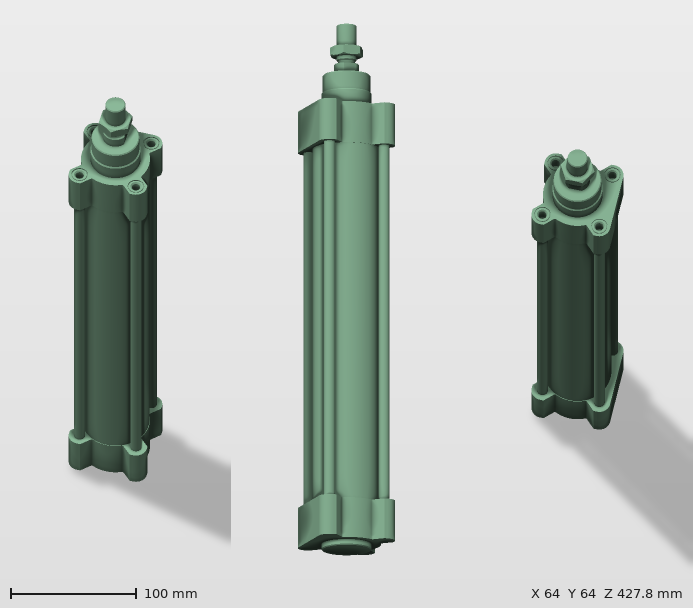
import cadquery as cq
import math


total_length = 427.8
spigot_length = 4.6
rear_cap_length = 32.5
tube_length = 289.6
front_cap_length = 33.5
collar_base_length = 12.6
collar_length = 27.0
thread_length = 32.0

cap_bottom = spigot_length
tube_bottom = cap_bottom + rear_cap_length
tube_top = tube_bottom + tube_length
front_cap_top = tube_top + front_cap_length
collar_top = front_cap_top + collar_length
shoulder_z = total_length - thread_length

cap_side = 64.0
half_side = cap_side / 2
cap_body_diameter = 55.0
tie_rod_offset = 23.25
boss_radius = half_side - tie_rod_offset
boss_flat_end = 20.4
notch_fillet = 1.5

tube_diameter = 54.2
tie_rod_diameter = 8.8
spigot_diameter = 40.0
spigot_chamfer = 0.8
collar_base_diameter = 40.0
collar_diameter = 38.0
collar_chamfer = 0.8

recess_diameter = 13.2
stud_diameter = 12.0
stud_top_diameter = 11.45
groove_depth = 1.0
stud_chamfer = (stud_diameter - stud_top_diameter) / 2
socket_rim_diameter = 8.8
socket_diameter = 6.65
socket_depth = 12.0
drill_point_angle = 120.0

rod_diameter = 20.0
rod_flat_width = 17.0
rod_chamfer = 0.5
rod_insert_depth = 40.0
thread_diameter = 16.0
tip_diameter = 14.38
tip_chamfer = (thread_diameter - tip_diameter) / 2
relief_diameter = 13.9
relief_length = 2.6
relief_taper = (thread_diameter - relief_diameter) / 2

nut_width = 24.0
nut_thickness = 8.0
nut_top_z = total_length - 17.8
nut_bottom_z = nut_top_z - nut_thickness
nut_face_diameter = 23.5
nut_chamfer_angle = 30.0


def cylinder(diameter, bottom, height):
    return cq.Workplane("XY").workplane(offset=bottom).circle(diameter / 2).extrude(height)


def turned(profile):
    """Revolve a (radius, z) profile about the Z axis."""
    return cq.Workplane("XZ").polyline(profile).close().revolve(360, (0, 0, 0), (0, 1, 0))


def tie_rod_points():
    return [(sx * tie_rod_offset, sy * tie_rod_offset) for sx in (-1, 1) for sy in (-1, 1)]


def corner_boss(bottom, height):
    """Corner boss in the +X +Y quadrant, with 45-degree flanks running in to the round body."""
    flank_run = half_side - boss_flat_end
    arc_reach = tie_rod_offset + boss_radius * math.sqrt(0.5)
    inner = boss_flat_end - flank_run
    return (
        cq.Workplane("XY")
        .workplane(offset=bottom)
        .moveTo(inner, boss_flat_end)
        .lineTo(boss_flat_end, half_side)
        .lineTo(tie_rod_offset, half_side)
        .threePointArc((arc_reach, arc_reach), (half_side, tie_rod_offset))
        .lineTo(half_side, boss_flat_end)
        .lineTo(boss_flat_end, inner)
        .lineTo(0, 0)
        .close()
        .extrude(height)
    )


def is_notch_corner(edge):
    """True for an edge where a boss flank meets the round body."""
    tolerance = 0.01
    center = edge.Center()
    flank_offset = abs(abs(center.x) - abs(center.y))
    on_flank = abs(flank_offset - (half_side - boss_flat_end)) < tolerance
    on_body = abs(math.hypot(center.x, center.y) - cap_body_diameter / 2) < tolerance
    return on_flank and on_body


def end_cap(bottom, height):
    """Round body, four corner bosses and a full-width flat on the +Y side."""
    cap = cylinder(cap_body_diameter, bottom, height)
    for quarter in range(4):
        cap = cap.union(corner_boss(bottom, height).rotate((0, 0, 0), (0, 0, 1), 90 * quarter))
    flat_side = (
        cq.Workplane("XY")
        .workplane(offset=bottom)
        .center(0, half_side / 2)
        .rect(2 * boss_flat_end, half_side)
        .extrude(height)
    )
    cap = cap.union(flat_side)
    notch_corners = cap.edges("|Z").filter(is_notch_corner)
    return notch_corners.fillet(notch_fillet)


def tie_rod_end_cut():
    """Material removed at one tie-rod end, with the cap face at z = 0."""
    groove = turned([
        (stud_top_diameter / 2, 0),
        (recess_diameter / 2, 0),
        (recess_diameter / 2, -groove_depth),
        (stud_diameter / 2, -groove_depth),
        (stud_diameter / 2, -stud_chamfer),
    ])
    rim = (socket_rim_diameter - socket_diameter) / 2
    point = socket_diameter / 2 / math.tan(math.radians(drill_point_angle / 2))
    socket = turned([
        (0, 0),
        (socket_rim_diameter / 2, 0),
        (socket_diameter / 2, -rim),
        (socket_diameter / 2, -socket_depth),
        (0, -socket_depth - point),
    ])
    return groove.union(socket)


def make_housing():
    housing = cylinder(tube_diameter, tube_bottom, tube_length)
    housing = housing.union(end_cap(cap_bottom, rear_cap_length))
    housing = housing.union(end_cap(tube_top, front_cap_length))
    for x, y in tie_rod_points():
        tie_rod = cylinder(tie_rod_diameter, tube_bottom, tube_length).translate((x, y, 0))
        housing = housing.union(tie_rod)

    spigot = cylinder(spigot_diameter, 0, spigot_length).faces("<Z").chamfer(spigot_chamfer)
    housing = housing.union(spigot)

    collar_step = (collar_base_diameter - collar_diameter) / 2
    collar_base_top = front_cap_top + collar_base_length
    collar = turned([
        (0, front_cap_top),
        (collar_base_diameter / 2, front_cap_top),
        (collar_base_diameter / 2, collar_base_top - collar_step),
        (collar_diameter / 2, collar_base_top),
        (collar_diameter / 2, collar_top - collar_chamfer),
        (collar_diameter / 2 - collar_chamfer, collar_top),
        (0, collar_top),
    ])
    housing = housing.union(collar)

    for x, y in tie_rod_points():
        housing = housing.cut(tie_rod_end_cut().translate((x, y, front_cap_top)))

    rod_bore = cylinder(rod_diameter, collar_top - rod_insert_depth, rod_insert_depth)
    return housing.cut(rod_bore)


def make_piston_rod():
    relief_top = shoulder_z + relief_length
    rod = turned([
        (0, collar_top - rod_insert_depth),
        (rod_diameter / 2, collar_top - rod_insert_depth),
        (rod_diameter / 2, shoulder_z - rod_chamfer),
        (rod_diameter / 2 - rod_chamfer, shoulder_z),
        (relief_diameter / 2, shoulder_z),
        (relief_diameter / 2, relief_top),
        (thread_diameter / 2, relief_top + relief_taper),
        (thread_diameter / 2, total_length - tip_chamfer),
        (tip_diameter / 2, total_length),
        (0, total_length),
    ])
    flat_depth = (rod_diameter - rod_flat_width) / 2
    flat_height = shoulder_z - collar_top
    for side in (-1, 1):
        flat_cut = cq.Workplane("XY").box(
            flat_depth, rod_diameter, flat_height, centered=(True, True, False)
        )
        flat_x = side * (rod_flat_width + flat_depth) / 2
        rod = rod.cut(flat_cut.translate((flat_x, 0, collar_top)))
    return rod


def make_nut():
    """Hexagon with two flats facing X, corners chamfered on both faces."""
    corner_diameter = nut_width / math.cos(math.radians(30))
    drop = (corner_diameter - nut_face_diameter) / 2 * math.tan(math.radians(nut_chamfer_angle))
    hexagon = (
        cq.Workplane("XY")
        .workplane(offset=nut_bottom_z)
        .polygon(6, corner_diameter)
        .extrude(nut_thickness)
        .rotate((0, 0, 0), (0, 0, 1), 30)
    )
    chamfer_envelope = turned([
        (0, nut_bottom_z),
        (nut_face_diameter / 2, nut_bottom_z),
        (corner_diameter / 2, nut_bottom_z + drop),
        (corner_diameter / 2, nut_top_z - drop),
        (nut_face_diameter / 2, nut_top_z),
        (0, nut_top_z),
    ])
    thread_hole = cylinder(thread_diameter, nut_bottom_z, nut_thickness)
    return hexagon.intersect(chamfer_envelope).cut(thread_hole)


housing = make_housing()
piston_rod = make_piston_rod()
lock_nut = make_nut()

result = cq.Compound.makeCompound([housing.val(), piston_rod.val(), lock_nut.val()])